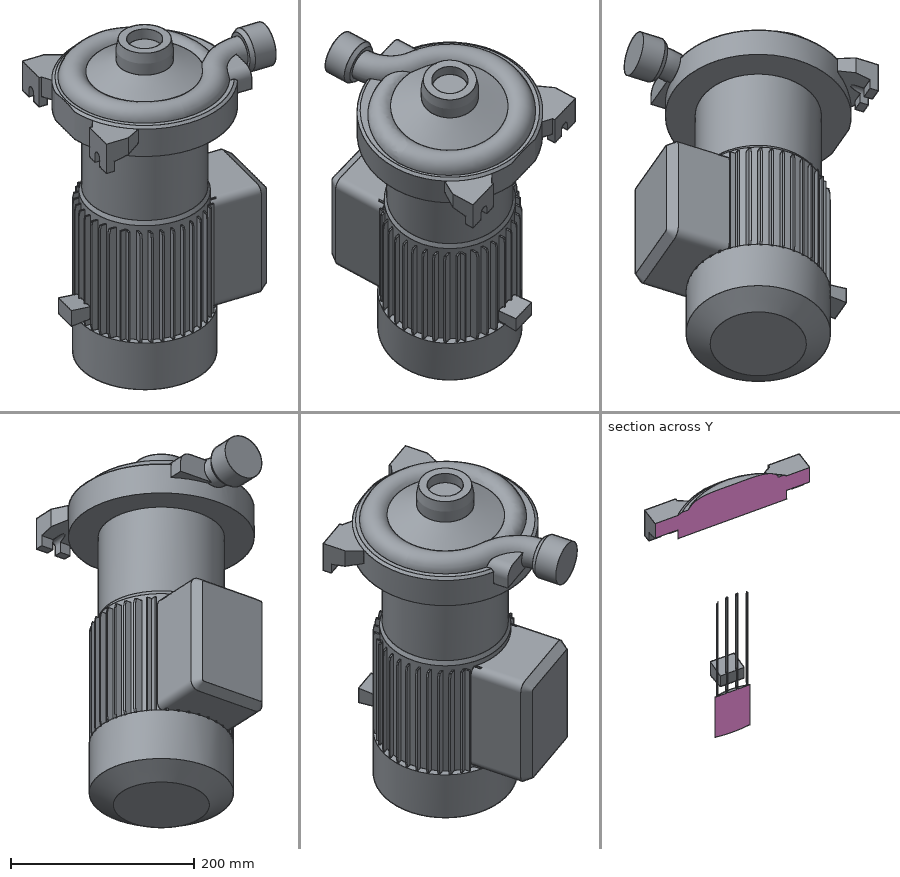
import cadquery as cq
import math

END_CONE_TOP = 15.0
COWL_TOP = 75.5
FINS_TOP = 217.0
COLLAR_TOP = 223.5
COLLAR_BEVEL_TOP = 228.5
FLANGE_BOTTOM = 332.5
FLANGE_RIM = 368.0
FLANGE_TOP = 370.5
INLET_BASE = 393.0
INLET_TAPER = 407.5
TOTAL_HEIGHT = 420.0

END_RADIUS = 52.5
COWL_RADIUS = 78.9
ROOT_RADIUS = 71.8
NECK_RADIUS = 69.0
FLANGE_RADIUS = 101.5
FLANGE_TOP_RADIUS = 98.0
COVER_RADIUS = 79.0
INLET_RADIUS = 31.3
INLET_TIP_RADIUS = 29.0
INLET_BORE_RADIUS = 19.7
INLET_BORE_DEPTH = 13.0

BASE_Y = -100.0
FLANGE_FLAT_Y = -99.1

FIN_THICKNESS = 2.0
FIN_ROOT_EMBED = 3.0
FINS_PER_HALF_GROUP = 5
FIN_PITCH_ANGLE = 10.0
CORNER_FIN_REACH = 57.7
FIN_END_DROP = 1.2
FIN_END_LENGTH = 6.0

BOX_WIDTH = 96.5
BOX_BACK_Y = 57.5
BOX_FRONT_Y = 129.5
BOX_BOTTOM = 77.5
BOX_TOP = 217.0
BOX_CORNER_RADIUS = 10.0
BOX_BEVEL_DEPTH = 10.5
BOX_BEVEL_INSET = 7.5

PIPE_Z = 367.2
PIPE_RADIUS = 17.1
VOLUTE_RADIUS = 76.3
LOWER_VOLUTE_RADIUS = 77.5
BEND_RADIUS = 55.0
TAIL_RADIUS = 11.6
TAIL_VOLUTE_RADIUS = 71.4
TAIL_SECTIONS = 5
UNION_RADIUS = 25.0
UNION_BASE_RADIUS = 21.5
UNION_BEVEL = 5.0
DISCHARGE_END_Y = 150.0

BLOCK_RIGHT = 52.0
BLOCK_BACK_Y = 105.0
BLOCK_FRONT_Y = 77.0
BLOCK_BOTTOM = 352.0
BLOCK_TOP = 377.0
BLOCK_ROUND = 12.6

FOOT_OUTER_X = 95.7
FOOT_INNER_X = 57.2
FOOT_SHOULDER_Y = -72.8
FOOT_BOTTOM = 330.0
FOOT_HEEL_Z = 342.5
FOOT_TOE_Z = 350.0
FOOT_PLATE_Y = -90.0
FOOT_ROOT_X = 86.0
FOOT_ROOT_Y = -55.0
WEB_INNER_X = 46.0
WEB_INNER_Y = -90.0
WEB_OUTER_Y = -97.0
SLOT_X = 75.2
SLOT_WIDTH = 10.5
SLOT_TOP = 345.5

PAD_WIDTH = 29.5
PAD_Z = 95.9
PAD_HEIGHT = 20.4
PAD_ROOT_HEIGHT = 16.0
PAD_FRONT_Y = -99.4
PAD_ROOT_Y = -76.0


def revolve(points):
    """Turn a closed (radius, z) outline about the Z axis."""
    return cq.Workplane("XZ").polyline(points).close().revolve(360, (0, 0), (0, 1))


def box(x_range, y_range, z_range):
    """A box between the given limits on each axis."""
    size = [high - low for low, high in (x_range, y_range, z_range)]
    corner = (x_range[0], y_range[0], z_range[0])
    return cq.Workplane().box(*size, centered=False).translate(corner)


def turned_body():
    body = revolve([
        (0, 0),
        (END_RADIUS, 0),
        (COWL_RADIUS, END_CONE_TOP),
        (COWL_RADIUS, COWL_TOP),
        (ROOT_RADIUS, COWL_TOP),
        (ROOT_RADIUS, COLLAR_TOP),
        (NECK_RADIUS, COLLAR_BEVEL_TOP),
        (NECK_RADIUS, FLANGE_BOTTOM),
        (FLANGE_RADIUS, FLANGE_BOTTOM),
        (FLANGE_RADIUS, FLANGE_RIM),
        (FLANGE_TOP_RADIUS, FLANGE_TOP),
        (COVER_RADIUS, FLANGE_TOP),
        (INLET_RADIUS, INLET_BASE),
        (INLET_RADIUS, INLET_TAPER),
        (INLET_TIP_RADIUS, TOTAL_HEIGHT),
        (0, TOTAL_HEIGHT),
    ])
    below_flat = box(
        (-FLANGE_RADIUS, FLANGE_RADIUS),
        (-2 * FLANGE_RADIUS, FLANGE_FLAT_Y),
        (FLANGE_BOTTOM, FLANGE_TOP),
    )
    return body.cut(below_flat)


def cooling_fins():
    """Parallel plates in four groups, trimmed to a drum; the outermost of each group are shorter."""
    z_range = (COWL_TOP, FINS_TOP)
    plates = None
    for index in range(FINS_PER_HALF_GROUP):
        offset = ROOT_RADIUS * math.sin(math.radians(FIN_PITCH_ANGLE * (index + 0.5)))
        inner = math.sqrt(ROOT_RADIUS**2 - offset**2) - FIN_ROOT_EMBED
        is_corner = index == FINS_PER_HALF_GROUP - 1
        reach = CORNER_FIN_REACH if is_corner else COWL_RADIUS
        for side in (-1, 1):
            plate = box(
                (inner, reach),
                (side * offset - FIN_THICKNESS / 2, side * offset + FIN_THICKNESS / 2),
                z_range,
            )
            for quarter in range(4):
                turned = plate.rotate((0, 0, 0), (0, 0, 1), 90 * quarter)
                plates = turned if plates is None else plates.union(turned)
    end_radius = COWL_RADIUS - FIN_END_DROP
    drum = revolve([
        (0, COWL_TOP),
        (end_radius, COWL_TOP),
        (COWL_RADIUS, COWL_TOP + FIN_END_LENGTH),
        (COWL_RADIUS, FINS_TOP - FIN_END_LENGTH),
        (end_radius, FINS_TOP),
        (0, FINS_TOP),
    ])
    return plates.intersect(drum)


def terminal_box():
    half = BOX_WIDTH / 2
    shell = box((-half, half), (BOX_BACK_Y, BOX_FRONT_Y), (BOX_BOTTOM, BOX_TOP))
    shell = shell.edges("|Y").fillet(BOX_CORNER_RADIUS)
    return shell.faces(">Y").chamfer(BOX_BEVEL_INSET, BOX_BEVEL_DEPTH)


def pipe_section(angle, path_radius, radius):
    """Round pipe section standing across the volute path at an angle in degrees from +X."""
    turn = math.radians(angle)
    centre = cq.Vector(path_radius * math.cos(turn), path_radius * math.sin(turn), PIPE_Z)
    along = cq.Vector(-math.sin(turn), math.cos(turn), 0)
    return cq.Wire.makeCircle(radius, centre, along)


def bend_pipe(start, middle, end, section):
    """Pipe of constant section along a level arc through three (x, y) points."""
    path = cq.Workplane("XY", origin=(0, 0, PIPE_Z)).moveTo(*start).threePointArc(middle, end)
    return cq.Workplane(cq.Solid.sweep(section, [], path.val(), True, True))


def on_circle(centre, radius, angle):
    """The (x, y) point of a circle at an angle in degrees from +X."""
    turn = math.radians(angle)
    return (centre[0] + radius * math.cos(turn), centre[1] + radius * math.sin(turn))


def volute_and_discharge():
    reach = VOLUTE_RADIUS + BEND_RADIUS
    leave_angle = math.degrees(math.acos(BEND_RADIUS / reach))
    bend_centre = on_circle((0, 0), reach, leave_angle)
    lower_centre = (VOLUTE_RADIUS - LOWER_VOLUTE_RADIUS, 0)
    left_radius = LOWER_VOLUTE_RADIUS - lower_centre[0]

    lower_half = bend_pipe(
        on_circle(lower_centre, LOWER_VOLUTE_RADIUS, 180),
        on_circle(lower_centre, LOWER_VOLUTE_RADIUS, 270),
        on_circle(lower_centre, LOWER_VOLUTE_RADIUS, 360),
        pipe_section(180, left_radius, PIPE_RADIUS),
    )
    upper_right = bend_pipe(
        on_circle((0, 0), VOLUTE_RADIUS, 0),
        on_circle((0, 0), VOLUTE_RADIUS, leave_angle / 2),
        on_circle((0, 0), VOLUTE_RADIUS, leave_angle),
        pipe_section(0, VOLUTE_RADIUS, PIPE_RADIUS),
    )
    bend = bend_pipe(
        on_circle(bend_centre, BEND_RADIUS, 180 + leave_angle),
        on_circle(bend_centre, BEND_RADIUS, 180 + leave_angle / 2),
        on_circle(bend_centre, BEND_RADIUS, 180),
        pipe_section(leave_angle, VOLUTE_RADIUS, PIPE_RADIUS),
    )

    tail_wires = []
    for index in range(TAIL_SECTIONS):
        part = index / (TAIL_SECTIONS - 1)
        angle = 180 + part * (leave_angle - 180)
        path_radius = left_radius + part * (TAIL_VOLUTE_RADIUS - left_radius)
        radius = PIPE_RADIUS + part * (TAIL_RADIUS - PIPE_RADIUS)
        tail_wires.append(pipe_section(angle, path_radius, radius))
    tail = cq.Workplane(cq.Solid.makeLoft(tail_wires))

    union_y = bend_centre[1]
    pipe_union = (
        cq.Workplane("XY")
        .polyline([
            (0, union_y),
            (UNION_BASE_RADIUS, union_y),
            (UNION_RADIUS, union_y + UNION_BEVEL),
            (UNION_RADIUS, DISCHARGE_END_Y),
            (0, DISCHARGE_END_Y),
        ])
        .close()
        .revolve(360, (0, 0), (0, 1))
        .translate((0, 0, PIPE_Z))
    )
    return lower_half.union(upper_right).union(tail).union(bend).union(pipe_union)


def rounded_block():
    block = box((0, BLOCK_RIGHT), (BLOCK_FRONT_Y, BLOCK_BACK_Y), (BLOCK_BOTTOM, BLOCK_TOP))
    return block.edges(">X and >Z").fillet(BLOCK_ROUND)


def foot():
    """Foot on the +X side: a front plate and a web joining it to the flange."""
    plan = (
        cq.Workplane("XY", origin=(0, 0, FOOT_BOTTOM))
        .polyline([
            (FOOT_INNER_X, BASE_Y),
            (FOOT_OUTER_X, BASE_Y),
            (FOOT_OUTER_X, FOOT_SHOULDER_Y),
            (FOOT_ROOT_X, FOOT_ROOT_Y),
            (WEB_INNER_X, WEB_INNER_Y),
            (FOOT_INNER_X, WEB_OUTER_Y),
        ])
        .close()
        .extrude(FLANGE_RIM - FOOT_BOTTOM)
    )
    profile = (
        cq.Workplane("YZ")
        .polyline([
            (BASE_Y, FOOT_BOTTOM),
            (FOOT_PLATE_Y, FOOT_BOTTOM),
            (FOOT_PLATE_Y, FOOT_HEEL_Z),
            (FOOT_ROOT_Y, FOOT_TOE_Z),
            (FOOT_ROOT_Y, FLANGE_RIM),
            (BASE_Y, FLANGE_RIM),
        ])
        .close()
        .extrude(FLANGE_RADIUS)
    )
    below_web = box((0, FOOT_INNER_X), (BASE_Y, FOOT_ROOT_Y), (FOOT_BOTTOM, FOOT_HEEL_Z))
    return plan.intersect(profile).cut(below_web)


def foot_slot():
    """Round-topped slot, open downward, through the +X foot."""
    radius = SLOT_WIDTH / 2
    arc_z = SLOT_TOP - radius
    return (
        cq.Workplane("XZ", origin=(SLOT_X, BASE_Y, 0))
        .moveTo(-radius, FOOT_BOTTOM)
        .lineTo(-radius, arc_z)
        .threePointArc((0, SLOT_TOP), (radius, arc_z))
        .lineTo(radius, FOOT_BOTTOM)
        .close()
        .extrude(BASE_Y - FOOT_ROOT_Y)
    )


def pad():
    return (
        cq.Workplane("YZ")
        .polyline([
            (PAD_FRONT_Y, PAD_Z - PAD_HEIGHT / 2),
            (PAD_ROOT_Y, PAD_Z - PAD_ROOT_HEIGHT / 2),
            (PAD_ROOT_Y, PAD_Z + PAD_ROOT_HEIGHT / 2),
            (PAD_FRONT_Y, PAD_Z + PAD_HEIGHT / 2),
        ])
        .close()
        .extrude(PAD_WIDTH / 2, both=True)
    )


right_foot = foot().cut(foot_slot())
inlet_bore = (
    cq.Workplane("XY", origin=(0, 0, TOTAL_HEIGHT - INLET_BORE_DEPTH))
    .circle(INLET_BORE_RADIUS)
    .extrude(INLET_BORE_DEPTH)
)

result = (
    turned_body()
    .union(cooling_fins())
    .union(terminal_box())
    .union(volute_and_discharge())
    .union(rounded_block())
    .union(right_foot)
    .union(right_foot.mirror("YZ"))
    .union(pad())
    .cut(inlet_bore)
)